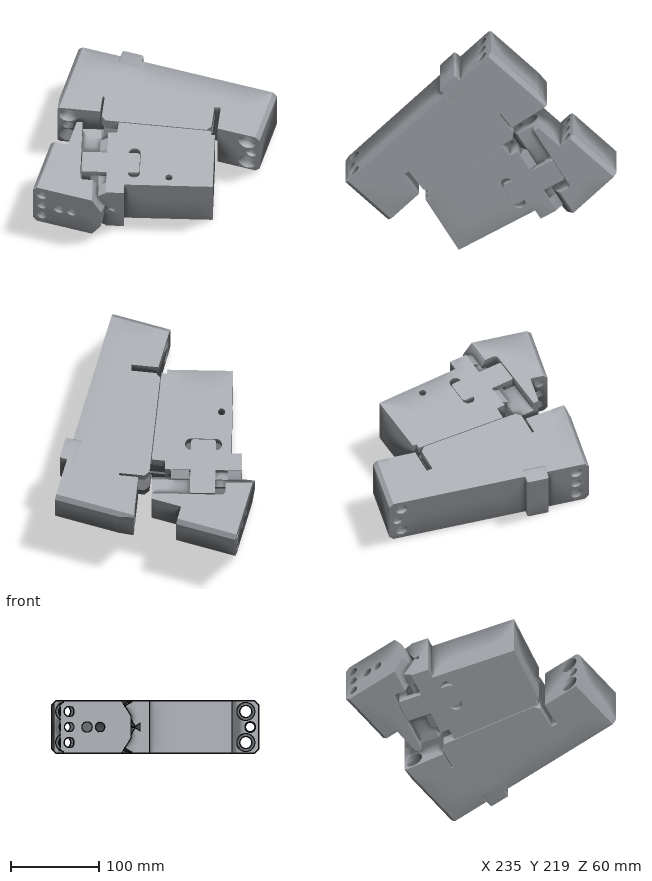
import cadquery as cq
import math

LENGTH = 235.0
HEIGHT = 60.0
HALF_HEIGHT = HEIGHT / 2
FRONT_Y = -210.0
EDGE_CHAMFER = 5.0

HOLDER_TILT = 10.0
CORE_CORNER = (49.5, -61.5)
CORE_LENGTH = 125.3
CORE_DEPTH = 33.8
CORE_CHAMFER = 5.2
LEFT_SLOT_WIDTH = 2.5
RIGHT_SLOT_WIDTH = 7.3
WING_LENGTH = 51.2
WING_DEPTH = 21.9
RIGHT_WING_Y = -68.5
TONGUE_HALF_HEIGHT = 16.2

KEY_LEFT = 49.4
KEY_WIDTH = 25.4
KEY_PROUD = 9.0
KEY_INSET = 9.9
KEY_HEIGHT = 58.8
KEY_FILLET = 2.0
SCREW_EDGE_OFFSET = 14.8
SCREW_Z = 17.6
SCREW_HOLE_DIA = 13.5
SCREW_HEAD_DIA = 20.5
SCREW_LEDGE_Y = -23.5
LEFT_PIN_X = 14.8
RIGHT_PIN_X = 225.1
PIN_HOLE_DIA = 10.5
PIN_MOUTH_DIA = 12.2

SLIDE_TILT = 15.0
SLIDE_CORNER = (68.5, -110.0)
FLANK_ANGLE = 30.0
RAIL_APEX = 2.0
RAIL_END = 14.3
GUIDE_LEFT = 9.6
GUIDE_NOTCH_X = 29.8
GUIDE_NOTCH_Y = -140.3
GUIDE_RIGHT = 90.0
POCKET_LEFT = -29.5
POCKET_END = -69.3
POCKET_FLOOR = 17.5
POCKET_FILLET = 4.7
RECESS_RIGHT = -15.5
RECESS_FLOOR = 12.7

GUIDE_SCREW_X = 20.0
GUIDE_SCREW_DIA = 11.3
GUIDE_PIN_DIA = 10.5
BLIND_X = 40.2
BLIND_DIA = 11.8
BLIND_DEPTH = 28.2
CROSS_X = 55.0
CROSS_DIA = 10.5
CROSS_DEPTH = 51.7
SPRING_BORE_DIA = 17.5
SPRING_BORE_OFFSET = -25.4
SPRING_BORE_DEPTH = 75.2
PILOT_DIA = 10.3
PILOT_OFFSET = -9.9
PILOT_DEPTH = 23.5

SLIDE_LENGTH = 121.0
SLIDE_WIDTH = 75.0
FOOT_LENGTH = 20.7
FOOT_END = -87.2
TONGUE_LEFT = 20.2
TONGUE_RIGHT = 126.0
TONGUE_GAP = 1.0
HEAD_DEPTH = 56.5
HEAD_GROOVE_DEPTH = 2.4
HEAD_GROOVE_HALF = 12.5
RAIL_CLEARANCE = 2.0
JAW_START = -6.8
JAW_EDGE = 1.5
JAW_SLOPE = 30.0
JAW_FILLET = 1.0
JAW_GAP_START = -27.5
JAW_GAP_END = -71.7
BAR_START = -29.0
BAR_END = -57.3
BAR_LEFT = -28.2
BAR_RIGHT = 37.1
BAR_LEFT_FILLET = 2.0
BAR_RIGHT_FILLET = 3.5
BAR_FLOOR = 22.8
HOOK_RIGHT = -18.3
RELIEF_RADIUS = 6.8
RELIEF_CENTER = 31.0
RELIEF_CLEARANCE = 0.7
RELIEF_FLOOR = 17.5
GROOVE_ROOT = 9.9
GROOVE_TIP = 2.4
SLIDE_HOLE = (71.0, -63.0)
SLIDE_HOLE_DIA = 8.2
SLIDE_HOLE_DEPTH = 23.5

FLANK_TAN = math.tan(math.radians(FLANK_ANGLE))


def tilted(corner, tilt, along, across):
    """XY point at (along, across) in axes that are turned by tilt about the corner."""
    angle = math.radians(tilt)
    x = corner[0] + along * math.cos(angle) - across * math.sin(angle)
    y = corner[1] + along * math.sin(angle) + across * math.cos(angle)
    return (x, y)


def on_holder(along, across):
    return tilted(CORE_CORNER, HOLDER_TILT, along, across)


def on_slide(along, across):
    return tilted(SLIDE_CORNER, SLIDE_TILT, along, across)


def prism(points, half_height=HALF_HEIGHT):
    """Upright prism centred on the mid plane."""
    return cq.Workplane("XY").polyline(points).close().extrude(half_height, both=True)


def slide_block(left, right, start, end, bottom, top):
    """Box between two heights, aligned with the slide axes."""
    block = cq.Workplane("XY").box(right - left, start - end, top - bottom, centered=False)
    return place_on_slide(block.translate((left, end, bottom)))


def place_on_slide(shape):
    turned = shape.rotate((0, 0, 0), (0, 0, 1), SLIDE_TILT)
    return turned.translate((*SLIDE_CORNER, 0))


def slide_profile(points, start, end):
    """Outline in (along, Z), swept across the slide axes from start to end."""
    swept = cq.Workplane("XZ").polyline(points).close().extrude(start - end)
    return place_on_slide(swept.translate((0, start, 0)))


def both_sides(upper):
    return upper.union(upper.mirror("XY"))


def y_hole(x, z, diameter, start_y, depth):
    """Round hole along +Y."""
    start = cq.Workplane("XZ", origin=(x, start_y, z))
    return start.circle(diameter / 2).extrude(-depth)


def end_chamfer(body, x, inward):
    """Bevel the upper and lower edges of an end face at x; inward is +1 or -1."""
    cutter = (
        cq.Workplane("XZ")
        .polyline([
            (x, HALF_HEIGHT),
            (x + inward * EDGE_CHAMFER, HALF_HEIGHT),
            (x, HALF_HEIGHT - EDGE_CHAMFER),
        ])
        .close()
        .extrude(-FRONT_Y)
    )
    return body.cut(both_sides(cutter))


def rail_prism(apex):
    """V-shaped prism that ends at the apex and is as long as the rail."""
    shoulder = apex - HALF_HEIGHT * FLANK_TAN
    outline = [
        (-LENGTH, HALF_HEIGHT),
        (shoulder, HALF_HEIGHT),
        (apex, 0),
        (shoulder, -HALF_HEIGHT),
        (-LENGTH, -HALF_HEIGHT),
    ]
    return slide_profile(outline, RAIL_END, FRONT_Y)


def holder_outline():
    angle = math.radians(HOLDER_TILT)
    core_right = CORE_LENGTH
    right_slot = CORE_LENGTH + RIGHT_SLOT_WIDTH
    taper_across = (CORE_CORNER[0] - WING_LENGTH * math.cos(angle)) / math.sin(angle)
    slot_corner = on_holder(right_slot, 0)
    slot_mouth_x = slot_corner[0] + (slot_corner[1] - RIGHT_WING_Y) * math.tan(angle)
    return [
        (0, 0),
        on_holder(-WING_LENGTH, taper_across),
        on_holder(-WING_LENGTH, -WING_DEPTH),
        on_holder(-LEFT_SLOT_WIDTH, -WING_DEPTH),
        on_holder(-LEFT_SLOT_WIDTH, 0),
        on_holder(0, 0),
        on_holder(0, CORE_CHAMFER - CORE_DEPTH),
        on_holder(CORE_CHAMFER, -CORE_DEPTH),
        on_holder(core_right - CORE_CHAMFER, -CORE_DEPTH),
        on_holder(core_right, CORE_CHAMFER - CORE_DEPTH),
        on_holder(core_right, 0),
        slot_corner,
        (slot_mouth_x, RIGHT_WING_Y),
        (LENGTH, RIGHT_WING_Y),
        (LENGTH, 0),
    ]


def make_holder():
    body = prism(holder_outline())
    body = end_chamfer(body, 0, 1)
    body = end_chamfer(body, LENGTH, -1)

    tongue_slot = prism(
        [
            on_holder(0, 0),
            on_holder(0, -CORE_DEPTH),
            on_holder(CORE_LENGTH, -CORE_DEPTH),
            on_holder(CORE_LENGTH, 0),
        ],
        TONGUE_HALF_HEIGHT,
    )
    body = body.cut(tongue_slot)

    for x in (SCREW_EDGE_OFFSET, LENGTH - SCREW_EDGE_OFFSET):
        for z in (-SCREW_Z, SCREW_Z):
            body = body.cut(y_hole(x, z, SCREW_HOLE_DIA, FRONT_Y, -FRONT_Y))
            body = body.cut(y_hole(x, z, SCREW_HEAD_DIA, FRONT_Y, SCREW_LEDGE_Y - FRONT_Y))
    body = body.cut(y_hole(LEFT_PIN_X, 0, PIN_MOUTH_DIA, FRONT_Y, -FRONT_Y))
    body = body.cut(y_hole(RIGHT_PIN_X, 0, PIN_HOLE_DIA, FRONT_Y, -FRONT_Y))
    body = body.cut(y_hole(RIGHT_PIN_X, 0, PIN_MOUTH_DIA, FRONT_Y, SCREW_LEDGE_Y - FRONT_Y))

    seat = cq.Workplane("XY").box(KEY_WIDTH, KEY_INSET, HEIGHT, centered=(False, False, True))
    body = body.cut(seat.translate((KEY_LEFT, -KEY_INSET, 0)))
    key = (
        cq.Workplane("XY")
        .box(KEY_WIDTH, KEY_INSET + KEY_PROUD, KEY_HEIGHT, centered=(False, False, True))
        .edges("|Z and >Y")
        .fillet(KEY_FILLET)
    )
    return body.union(key.translate((KEY_LEFT, -KEY_INSET, 0)))


def make_pocket(floor):
    """Upper stop pocket with rounded corners, long enough to leave the guide at two sides."""
    pocket = slide_block(POCKET_LEFT, -POCKET_LEFT, -POCKET_END, POCKET_END, floor, HALF_HEIGHT)
    return pocket.edges("|Z").fillet(POCKET_FILLET)


def make_guide():
    end_slope = math.tan(math.radians(SLIDE_TILT))
    end_point = on_slide(RAIL_APEX, RAIL_END)
    notch_top = end_point[1] - (end_point[0] - GUIDE_NOTCH_X) * end_slope
    body = prism([
        (GUIDE_LEFT, FRONT_Y),
        (GUIDE_LEFT, GUIDE_NOTCH_Y),
        (GUIDE_NOTCH_X, GUIDE_NOTCH_Y),
        (GUIDE_NOTCH_X, notch_top),
        end_point,
        (GUIDE_RIGHT, end_point[1] + (GUIDE_RIGHT - end_point[0]) * end_slope),
        (GUIDE_RIGHT, FRONT_Y),
    ])
    body = body.intersect(rail_prism(RAIL_APEX))
    body = end_chamfer(body, GUIDE_LEFT, 1)

    body = body.cut(both_sides(make_pocket(POCKET_FLOOR)))

    recess = slide_block(POCKET_LEFT, RECESS_RIGHT, BAR_START, POCKET_END, RECESS_FLOOR, HALF_HEIGHT)
    recess = recess.intersect(make_pocket(RECESS_FLOOR))
    body = body.cut(both_sides(recess))

    for z, diameter in ((-SCREW_Z, GUIDE_SCREW_DIA), (0, GUIDE_PIN_DIA), (SCREW_Z, GUIDE_SCREW_DIA)):
        body = body.cut(y_hole(GUIDE_SCREW_X, z, diameter, FRONT_Y, GUIDE_NOTCH_Y - FRONT_Y))
    body = body.cut(y_hole(BLIND_X, 0, BLIND_DIA, FRONT_Y, BLIND_DEPTH))
    body = body.cut(y_hole(CROSS_X, 0, CROSS_DIA, FRONT_Y, CROSS_DEPTH))

    for along, diameter, depth in (
        (SPRING_BORE_OFFSET, SPRING_BORE_DIA, SPRING_BORE_DEPTH),
        (PILOT_OFFSET, PILOT_DIA, PILOT_DEPTH),
    ):
        body = body.cut(place_on_slide(y_hole(along, 0, diameter, RAIL_END - depth, depth)))
    return body


def make_jaws():
    """Sloped lips with rounded tips that reach over the rail, interrupted next to the stop bars."""
    edge_height = HALF_HEIGHT - JAW_EDGE
    slope_tan = math.tan(math.radians(JAW_SLOPE))
    flank_height = (RAIL_APEX + RAIL_CLEARANCE) / FLANK_TAN
    tip = (flank_height - edge_height) / (slope_tan + 1 / FLANK_TAN)
    lip = (
        cq.Workplane("XZ")
        .polyline([(0, flank_height), (0, edge_height), (tip, edge_height + tip * slope_tan)])
        .close()
        .extrude(JAW_START - FOOT_END)
        .edges("<X")
        .fillet(JAW_FILLET)
    )
    lip = place_on_slide(lip.translate((0, JAW_START, 0)))
    gap = slide_block(BAR_LEFT, 0, JAW_GAP_START, JAW_GAP_END, BAR_FLOOR, HALF_HEIGHT)
    return both_sides(lip.cut(gap))


def make_bar():
    """Upper stop bar, from inside the slide to the guide pocket, with a hook at its free end."""
    bar = cq.Workplane("XY").box(
        BAR_RIGHT - BAR_LEFT, BAR_START - BAR_END, HALF_HEIGHT - RECESS_FLOOR, centered=False
    )
    bar = bar.edges("|Z and <X").fillet(BAR_LEFT_FILLET)
    bar = bar.edges("|Z and >X").fillet(BAR_RIGHT_FILLET)
    bar = place_on_slide(bar.translate((BAR_LEFT, BAR_END, RECESS_FLOOR)))
    return bar.cut(slide_block(HOOK_RIGHT, BAR_RIGHT, BAR_START, BAR_END, RECESS_FLOOR, BAR_FLOOR))


def make_bar_seat():
    """Upper seat of the stop bar, with a round relief at each inner corner."""
    seat_right = BAR_RIGHT + RELIEF_CLEARANCE
    seat = slide_block(0, seat_right, BAR_START, BAR_END, BAR_FLOOR, HALF_HEIGHT)
    reliefs = (
        cq.Workplane("XY", origin=(0, 0, RELIEF_FLOOR))
        .pushPoints([(RELIEF_CENTER, BAR_START), (RELIEF_CENTER, BAR_END)])
        .circle(RELIEF_RADIUS)
        .extrude(HALF_HEIGHT - RELIEF_FLOOR)
    )
    return seat.union(place_on_slide(reliefs))


def make_slide():
    body = prism([
        on_slide(0, 0),
        on_slide(0, FOOT_END),
        on_slide(FOOT_LENGTH, FOOT_END),
        on_slide(FOOT_LENGTH, -SLIDE_WIDTH),
        on_slide(SLIDE_LENGTH, -SLIDE_WIDTH),
        on_slide(SLIDE_LENGTH, 0),
    ])

    head_top = -CORE_DEPTH - TONGUE_GAP
    head = prism([
        on_holder(TONGUE_LEFT, head_top),
        on_holder(TONGUE_LEFT, -HEAD_DEPTH),
        on_holder(TONGUE_RIGHT, -HEAD_DEPTH),
        on_holder(TONGUE_RIGHT, head_top),
    ])
    tongue = prism(
        [
            on_holder(TONGUE_LEFT, 0),
            on_holder(TONGUE_LEFT, head_top),
            on_holder(TONGUE_RIGHT, head_top),
            on_holder(TONGUE_RIGHT, 0),
        ],
        TONGUE_HALF_HEIGHT,
    )
    groove_bottom = TONGUE_LEFT + HEAD_GROOVE_DEPTH
    head_groove = prism(
        [
            on_holder(TONGUE_LEFT, 0),
            on_holder(TONGUE_LEFT, -HEAD_DEPTH),
            on_holder(groove_bottom, -HEAD_DEPTH),
            on_holder(groove_bottom, 0),
        ],
        HEAD_GROOVE_HALF,
    )
    head = head.union(tongue).cut(head_groove)
    body = body.union(head).union(make_jaws())

    body = body.cut(rail_prism(RAIL_APEX + RAIL_CLEARANCE))
    root_half = (GROOVE_ROOT - GROOVE_TIP) * FLANK_TAN
    relief = [(GROOVE_TIP, 0), (GROOVE_ROOT, root_half), (GROOVE_ROOT, -root_half)]
    body = body.cut(slide_profile(relief, 0, FOOT_END))

    body = body.cut(both_sides(make_bar_seat()))
    body = body.union(both_sides(make_bar()))

    radius = SLIDE_HOLE_DIA / 2
    hole = (
        cq.Workplane("XZ")
        .polyline([
            (0, HALF_HEIGHT),
            (radius, HALF_HEIGHT),
            (radius, HALF_HEIGHT - SLIDE_HOLE_DEPTH),
            (0, HALF_HEIGHT - SLIDE_HOLE_DEPTH - radius),
        ])
        .close()
        .revolve(360, (0, 0, 0), (0, 1, 0))
    )
    return body.cut(place_on_slide(hole.translate((*SLIDE_HOLE, 0))))


holder = make_holder()
guide = make_guide()
slide = make_slide()

result = cq.Compound.makeCompound([holder.solids().val(), guide.solids().val(), slide.solids().val()])